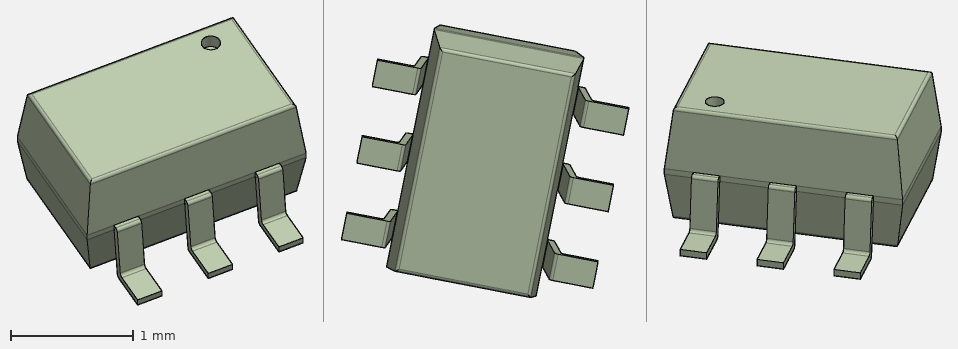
import cadquery as cq
import math

BODY_WIDTH = 1.25
BODY_LENGTH = 2.02
BODY_BOTTOM = 0.055
BODY_TOP = 1.1
BAND_TOP = 0.552
BAND_HEIGHT = 0.052
UPPER_DRAFT = 6.6
LOWER_DRAFT = 7.8
RIM_RADIUS = 0.03

MARK_DIAMETER = 0.155
MARK_DEPTH = 0.125
MARK_SIDE_OFFSET = 0.248
MARK_END_OFFSET = 0.363

LEAD_SPAN = 2.1
LEAD_WIDTH = 0.225
LEAD_THICKNESS = 0.06
LEAD_PITCH = 0.65
LEADS_PER_SIDE = 3
SHOULDER_LENGTH = 0.059
LEG_LEAN = 6.8
BEND_RADIUS = 0.03

BAND_BOTTOM = BAND_TOP - BAND_HEIGHT


def body_outline(height):
    """Largest rectangle of the body, drawn at the given height."""
    return cq.Workplane("XY").workplane(offset=height).rect(BODY_WIDTH, BODY_LENGTH)


def make_drafted_block(start, end, draft, rim_face):
    """Block that narrows from the parting band to its outer face, whose rim is rounded."""
    block = body_outline(start).extrude(end - start, taper=draft)
    return block.faces(rim_face).edges().fillet(RIM_RADIUS)


def make_body():
    """Straight parting band with a drafted block above and below, and a pin-one mark."""
    band = body_outline(BAND_BOTTOM).extrude(BAND_HEIGHT)
    upper = make_drafted_block(BAND_TOP, BODY_TOP, UPPER_DRAFT, ">Z")
    lower = make_drafted_block(BAND_BOTTOM, BODY_BOTTOM, LOWER_DRAFT, "<Z")
    mark = (
        cq.Workplane("XY")
        .workplane(offset=BODY_TOP)
        .center(MARK_SIDE_OFFSET - BODY_WIDTH / 2, BODY_LENGTH / 2 - MARK_END_OFFSET)
        .circle(MARK_DIAMETER / 2)
        .extrude(-MARK_DEPTH)
    )
    return band.union(upper).union(lower).cut(mark)


def make_lead(side, y_center):
    """Gull-wing lead of constant thickness; side is -1 for the -X row, +1 for the +X row."""
    lean = math.radians(LEG_LEAN)
    corner_shift = LEAD_THICKNESS * math.tan((math.pi / 2 - lean) / 2)
    root_x = BODY_WIDTH / 2
    shoulder_x = root_x + SHOULDER_LENGTH
    heel_x = shoulder_x + (BAND_TOP - LEAD_THICKNESS) * math.tan(lean)
    toe_x = LEAD_SPAN / 2
    shoulder_top = (shoulder_x, BAND_TOP)
    heel_top = (heel_x, LEAD_THICKNESS)
    heel_bottom = (heel_x - corner_shift, 0)
    outline = [
        (root_x, BAND_TOP),
        shoulder_top,
        heel_top,
        (toe_x, LEAD_THICKNESS),
        (toe_x, 0),
        heel_bottom,
        (shoulder_x - corner_shift, BAND_TOP - LEAD_THICKNESS),
        (root_x, BAND_TOP - LEAD_THICKNESS),
    ]
    lead = (
        cq.Workplane("XZ", origin=(0, y_center, 0))
        .polyline([(side * x, z) for x, z in outline])
        .close()
        .extrude(LEAD_WIDTH / 2, both=True)
    )
    for x, z in (shoulder_top, heel_top, heel_bottom):
        corner = cq.selectors.NearestToPointSelector((side * x, y_center, z))
        lead = lead.edges("|Y").edges(corner).fillet(BEND_RADIUS)
    return lead


body = make_body()
leads = []
for side in (-1, 1):
    for index in range(LEADS_PER_SIDE):
        y_center = (index - (LEADS_PER_SIDE - 1) / 2) * LEAD_PITCH
        leads.append(make_lead(side, y_center).val())

result = cq.Compound.makeCompound([body.val(), *leads])